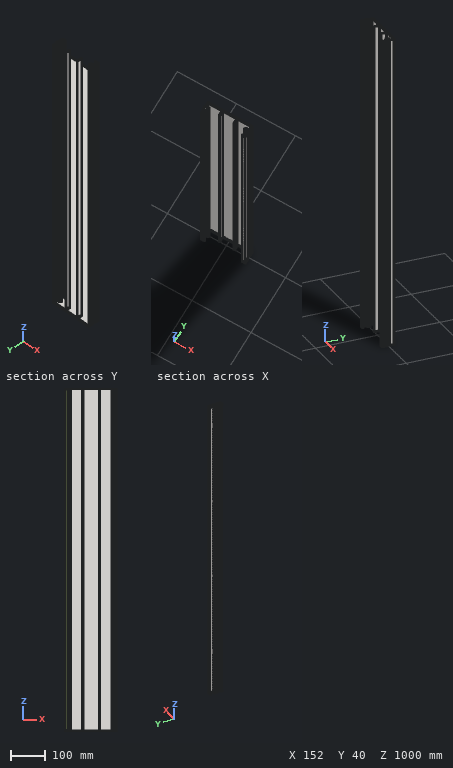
import cadquery as cq

length = 1000.0
overall_width = 152.0
depth = 40.0

wall = 3.0
lip_reach = 12.0

joint_y = -20.0
tongue_height = 2.0
tongue_width = 10.0
groove_depth = 3.0
groove_width = 10.0

pad_top = -14.0
pad_bottom = -29.0
pad_thickness = 6.5

port_y = -19.0
port_inset = 11.0
port_radius = 5.0
port_bore_radius = 3.0
port_mouth_width = 3.0

rib_spacing = 50.0
rib_thickness = 3.0
rib_depth = 20.0
rib_foot_thickness = 1.0
rib_foot_depth = 5.0

left_face = tongue_height
right_face = overall_width
centre_x = (left_face + right_face) / 2


def bar(x_start, x_end, y_min, y_max):
    """Full-length rectangular bar; the two X limits may come in either order."""
    return (
        cq.Workplane("XY")
        .center((x_start + x_end) / 2, (y_min + y_max) / 2)
        .rect(abs(x_end - x_start), y_max - y_min)
        .extrude(length)
    )


def rod(x, y, radius):
    """Full-length round rod."""
    return cq.Workplane("XY").center(x, y).circle(radius).extrude(length)


def side_wall(face, inward):
    """Side wall with lip, pad and screw port; inward is the X sign toward the middle."""
    port_x = face + inward * port_inset
    half_mouth = port_mouth_width / 2
    upright = bar(face, face + inward * wall, -depth, 0)
    lip = bar(face, face + inward * lip_reach, -depth, wall - depth)
    pad = bar(face, face + inward * pad_thickness, pad_bottom, pad_top)
    port = rod(port_x, port_y, port_radius)
    bore = rod(port_x, port_y, port_bore_radius)
    mouth = bar(port_x - half_mouth, port_x + half_mouth, port_y - port_radius, port_y)
    return upright.union(lip).union(pad).union(port).cut(bore).cut(mouth)


def rib(side):
    """Rib with its foot; side is -1 for the left rib and 1 for the right one."""
    rib_x = centre_x + side * rib_spacing / 2
    inner_face = rib_x - side * rib_thickness / 2
    outer_face = rib_x + side * rib_thickness / 2
    blade = bar(inner_face, outer_face, -rib_depth, 0)
    foot = bar(inner_face, inner_face - side * rib_foot_thickness, -rib_foot_depth, 0)
    return blade.union(foot)


channel = bar(left_face, right_face, -wall, 0)
channel = channel.union(side_wall(left_face, 1)).union(side_wall(right_face, -1))
for side in (-1, 1):
    channel = channel.union(rib(side))

tongue = bar(0, left_face + wall, joint_y - tongue_width / 2, joint_y + tongue_width / 2)
groove = bar(
    right_face - groove_depth, right_face, joint_y - groove_width / 2, joint_y + groove_width / 2
)
result = channel.union(tongue).cut(groove)